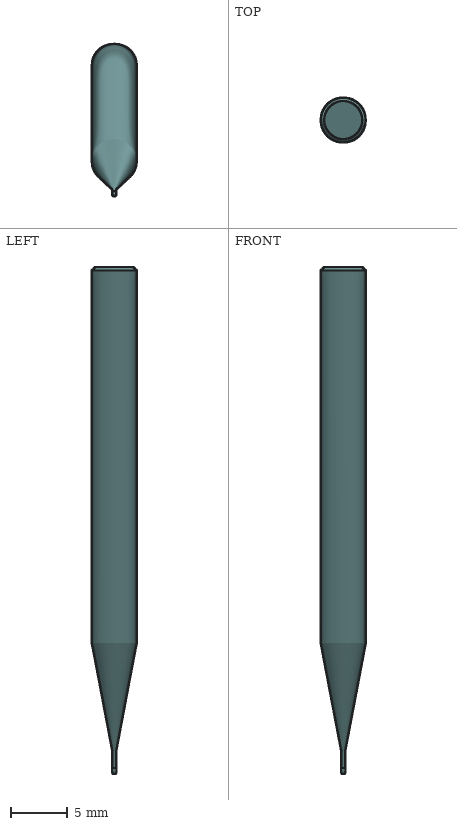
import cadquery as cq

total_length = 45.0
shank_radius = 2.002
chamfer = 0.3
taper_top = 11.6
neck_top = 2.02
neck_radius = 0.2
head_radius = 0.202
head_length = 0.55


def make_shank():
    """Straight shank, taper and slender neck, ending on top of the cutting head."""
    profile = (
        cq.Workplane("XZ")
        .moveTo(0, head_length)
        .lineTo(neck_radius, head_length)
        .lineTo(neck_radius, neck_top)
        .lineTo(shank_radius, taper_top)
        .lineTo(shank_radius, total_length - chamfer)
        .lineTo(shank_radius - chamfer, total_length)
        .lineTo(0, total_length)
        .close()
    )
    return profile.revolve(360, (0, 0, 0), (0, 1, 0))


def make_cutting_head():
    """Short cylinder, slightly wider than the neck, with a ball nose."""
    cylinder_length = head_length - head_radius
    cylinder = (
        cq.Workplane("XY")
        .workplane(offset=head_radius)
        .circle(head_radius)
        .extrude(cylinder_length)
    )
    ball = cq.Workplane("XY").sphere(head_radius).translate((0, 0, head_radius))
    return cylinder.union(ball)


shank = make_shank()
cutting_head = make_cutting_head()

result = cq.Compound.makeCompound([shank.val(), cutting_head.val()])